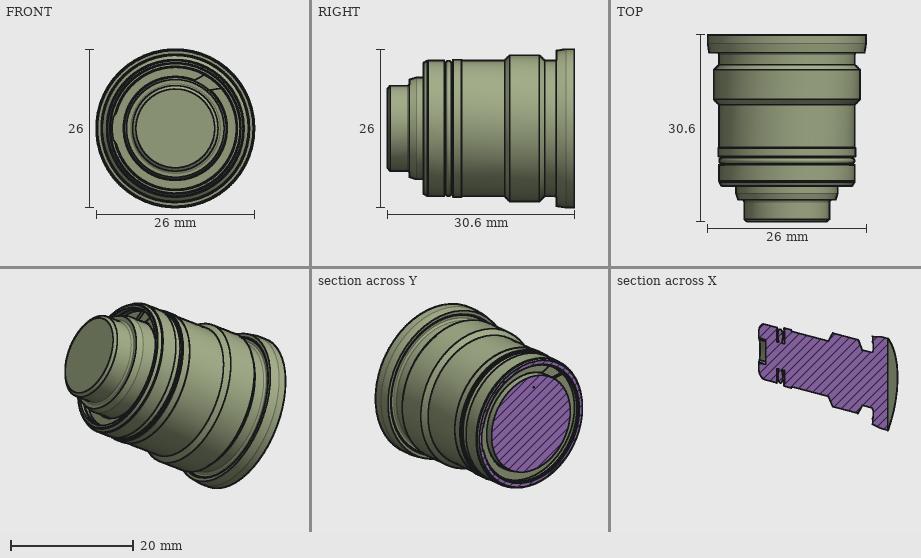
import cadquery as cq
import math

length = 30.65

tip_dia = 14.0
tip_chamfer_axial = 0.45
tip_chamfer_radial = 0.55
tip_fillet = 0.35

collar_dia = 16.7
collar_nose_dia = 16.0
collar_front = 3.62
collar_cone_end = 4.72

body_dia = 22.3
sleeve_front = 5.9
sleeve_nose_dia = 22.2
sleeve_nose_rear = 6.7
sleeve_chamfer_axial = 0.65
sleeve_chamfer_radial = 0.35
rim_bevel_axial = 0.05
rim_bevel_radial = 0.15
groove_front = 9.35
groove_rear = 10.7
groove_floor_dia = 20.47
undercut_dia = 21.95
undercut_depth = 0.1
ring_dia = 22.2
ring_section_dia = 0.98
land_dia = 22.55
land_rear = 12.23
land_front_chamfer = 0.1
land_rear_chamfer = (land_dia - body_dia) / 2

band_dia = 24.0
band_front = 19.22
band_rear = 25.75
band_chamfer = (band_dia - body_dia) / 2

flange_dia = 26.0
flange_nose_dia = 25.5
flange_front = 27.68
flange_cone_end = 29.25
relief_mouth_dia = 24.35
relief_floor_dia = 23.9
relief_depth = 0.12
neck_fillet = 0.35

recess_mouth_dia = 20.35
recess_floor_dia = 19.98
recess_step_depth = 0.67
recess_depth = 1.35
notch_dia = 20.65
notch_mouth_half_width = 2.57
notch_side_angle = 35.0

pocket_depth = 0.5
clearance_dia = 17.05
pocket_mid_radius = 9.25
pocket_side_angles = (44.0, 64.4)
pocket_side_tilt = 35.0


def tube(outer_dia, inner_dia, front, depth):
    """Ring about the Y axis that runs from `front` toward +Y."""
    plane = cq.Workplane("XZ", origin=(0, front, 0))
    return plane.circle(outer_dia / 2).circle(inner_dia / 2).extrude(-depth)


def make_body():
    """Solid of revolution: half outline in (radius, Y), closed along the axis."""
    tip_r = tip_dia / 2
    body_r = body_dia / 2
    relief_floor = flange_front + relief_depth
    sleeve_rim_r = sleeve_nose_dia / 2 - sleeve_chamfer_radial
    floor_r = groove_floor_dia / 2
    groove_middle = (groove_front + groove_rear) / 2
    ring_r = ring_section_dia / 2
    ring_half_foot = math.sqrt(ring_r**2 - (ring_dia / 2 - ring_r - floor_r) ** 2)
    arc_in = 1 - math.sqrt(0.5)
    outline = (
        cq.Workplane("XY")
        .moveTo(0, 0)
        .lineTo(tip_r - tip_chamfer_radial, 0)
        .lineTo(tip_r, tip_chamfer_axial)
        .lineTo(tip_r, collar_front - tip_fillet)
        .threePointArc(
            (tip_r + arc_in * tip_fillet, collar_front - arc_in * tip_fillet),
            (tip_r + tip_fillet, collar_front),
        )
        .lineTo(collar_nose_dia / 2, collar_front)
        .lineTo(collar_dia / 2, collar_cone_end)
        .lineTo(collar_dia / 2, sleeve_front)
        .lineTo(sleeve_rim_r - rim_bevel_radial, sleeve_front)
        .lineTo(sleeve_rim_r, sleeve_front + rim_bevel_axial)
        .lineTo(sleeve_nose_dia / 2, sleeve_front + sleeve_chamfer_axial)
        .lineTo(sleeve_nose_dia / 2, sleeve_nose_rear)
        .lineTo(body_r, sleeve_nose_rear)
        .lineTo(body_r, groove_front)
        .lineTo(floor_r, groove_front)
        .lineTo(floor_r, groove_middle - ring_half_foot)
        .threePointArc((ring_dia / 2, groove_middle), (floor_r, groove_middle + ring_half_foot))
        .lineTo(floor_r, groove_rear + undercut_depth)
        .lineTo(undercut_dia / 2, groove_rear + undercut_depth)
        .lineTo(undercut_dia / 2, groove_rear)
        .lineTo(land_dia / 2 - land_front_chamfer, groove_rear)
        .lineTo(land_dia / 2, groove_rear + land_front_chamfer)
        .lineTo(land_dia / 2, land_rear - land_rear_chamfer)
        .lineTo(body_r, land_rear)
        .lineTo(body_r, band_front)
        .lineTo(band_dia / 2, band_front + band_chamfer)
        .lineTo(band_dia / 2, band_rear - band_chamfer)
        .lineTo(body_r, band_rear)
        .lineTo(body_r, relief_floor - neck_fillet)
        .threePointArc(
            (body_r + arc_in * neck_fillet, relief_floor - arc_in * neck_fillet),
            (body_r + neck_fillet, relief_floor),
        )
        .lineTo(relief_floor_dia / 2, relief_floor)
        .lineTo(relief_mouth_dia / 2, flange_front)
        .lineTo(flange_nose_dia / 2, flange_front)
        .lineTo(flange_dia / 2, flange_cone_end)
        .lineTo(flange_dia / 2, length)
        .lineTo(0, length)
        .close()
    )
    return outline.revolve(360, (0, 0, 0), (0, 1, 0))


def make_recess():
    """Stepped annular recess around the collar, with a shallow notch on the -X side."""
    mouth = tube(recess_mouth_dia, collar_dia, sleeve_front, recess_step_depth)
    lower = tube(recess_floor_dia, collar_dia, sleeve_front, recess_depth)
    mouth_x = -math.sqrt((recess_floor_dia / 2) ** 2 - notch_mouth_half_width**2)
    root_x = -notch_dia / 2
    taper = (mouth_x - root_x) / math.tan(math.radians(notch_side_angle))
    root_half_width = notch_mouth_half_width - taper
    wedge = (
        cq.Workplane("XZ", origin=(0, sleeve_front, 0))
        .moveTo(mouth_x, notch_mouth_half_width)
        .lineTo(root_x, root_half_width)
        .lineTo(root_x, -root_half_width)
        .lineTo(mouth_x, -notch_mouth_half_width)
        .close()
        .extrude(-recess_depth)
    )
    notch = tube(notch_dia, collar_dia, sleeve_front, recess_depth).intersect(wedge)
    return mouth.union(lower).union(notch)


def pocket_side(angle):
    """Inner and outer end of a pocket side that leans back from the radial direction."""
    position = math.radians(angle)
    lean = math.radians(angle - pocket_side_tilt)
    half_length = recess_floor_dia / 4
    mid_x = pocket_mid_radius * math.cos(position)
    mid_z = pocket_mid_radius * math.sin(position)
    step_x = half_length * math.cos(lean)
    step_z = half_length * math.sin(lean)
    return (mid_x - step_x, mid_z - step_z), (mid_x + step_x, mid_z + step_z)


def make_floor_pocket():
    """Clearance ring around the collar and one slanted pocket, both below the recess floor."""
    floor = sleeve_front + recess_depth
    lower_inner, lower_outer = pocket_side(pocket_side_angles[0])
    upper_inner, upper_outer = pocket_side(pocket_side_angles[1])
    between_sides = (
        cq.Workplane("XZ", origin=(0, floor, 0))
        .polyline([lower_inner, lower_outer, upper_outer, upper_inner])
        .close()
        .extrude(-pocket_depth)
    )
    pocket = tube(recess_floor_dia, collar_dia, floor, pocket_depth).intersect(between_sides)
    return tube(clearance_dia, collar_dia, floor, pocket_depth).union(pocket)


result = make_body().cut(make_recess()).cut(make_floor_pocket())